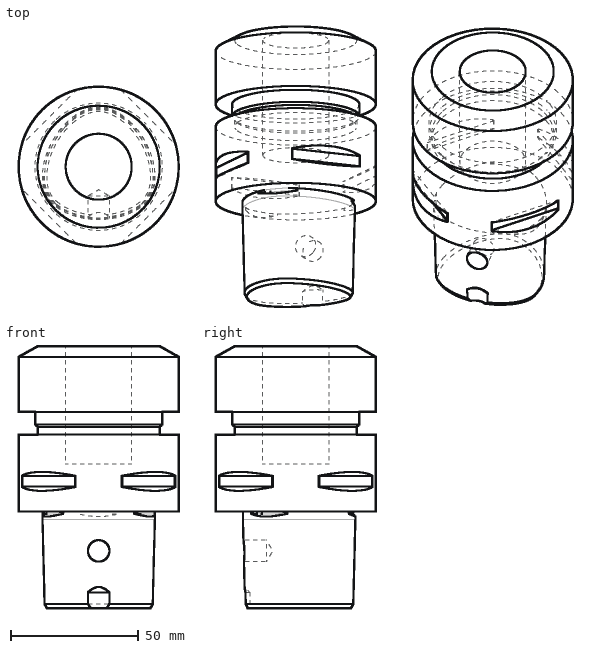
import cadquery as cq
import math

TOTAL_HEIGHT = 103.0
SHANK_LENGTH = 38.0
BODY_TOP = 68.2
RELIEF_TOP = 71.3
NUT_BOTTOM = 77.1

BODY_RADIUS = 31.5
THREAD_RADIUS = 25.0
RELIEF_RADIUS = 24.0
NUT_FACE_RADIUS = 24.0
NUT_BEVEL_HEIGHT = 4.2
BORE_RADIUS = 13.0
BORE_DEPTH = 46.4

LOBE_MEAN_RADIUS = 22.1
LOBE_RISE = 1.3
COLLAR_LENGTH = 3.2
TAPER_PER_RADIUS = 1 / 40
TIP_CHAMFER_HEIGHT = 1.6
TIP_CHAMFER_INSET = 0.9
CURVE_POINTS = 72

UNDERCUT_RADIUS = 22.4
UNDERCUT_ARC = 0.6

LOCATING_HOLE_RADIUS = 4.2
LOCATING_HOLE_HALF_ANGLE = 59
LOCATING_HOLE_HEIGHT = 22.6
LOCATING_HOLE_DEPTH = 9.3
KEYWAY_RADIUS = 6.0
KEYWAY_HALF_ANGLE = 45
KEYWAY_AXIS_OFFSET = 24.0
KEYWAY_HEIGHT = 6.3

GROOVE_COUNT = 4
GROOVE_HEIGHT = 49.9
GROOVE_LENGTH = 29.5
GROOVE_FLOOR_WIDTH = 4.1
GROOVE_FLOOR_OFFSET = 27.5
GROOVE_FLARE_ANGLE = 22.5


def lobe_wire(mean_radius, z):
    """Constant-width trilobe with one lobe on +Y, its seam on -Y."""
    points = []
    for i in range(CURVE_POINTS):
        normal = 2 * math.pi * i / CURVE_POINTS - math.pi / 2
        phase = 3 * (normal - math.pi / 2)
        support = mean_radius + LOBE_RISE * math.cos(phase)
        slope = -3 * LOBE_RISE * math.sin(phase)
        x = support * math.cos(normal) - slope * math.sin(normal)
        y = support * math.sin(normal) + slope * math.cos(normal)
        points.append(cq.Vector(x, y, z))
    return cq.Wire.assembleEdges([cq.Edge.makeSpline(points, periodic=True)])


def shank():
    collar_bottom = SHANK_LENGTH - COLLAR_LENGTH
    taper_length = collar_bottom - TIP_CHAMFER_HEIGHT
    tip_radius = LOBE_MEAN_RADIUS - taper_length * TAPER_PER_RADIUS
    sections = [
        lobe_wire(tip_radius - TIP_CHAMFER_INSET, 0),
        lobe_wire(tip_radius, TIP_CHAMFER_HEIGHT),
        lobe_wire(LOBE_MEAN_RADIUS, collar_bottom),
        lobe_wire(LOBE_MEAN_RADIUS, SHANK_LENGTH),
    ]
    return cq.Workplane(cq.Solid.makeLoft(sections, True))


def undercut():
    """Ring with a rounded floor and a 45 degree run-out."""
    arc_offset = UNDERCUT_ARC * math.sqrt(0.5)
    center_r = UNDERCUT_RADIUS + UNDERCUT_ARC
    center_z = SHANK_LENGTH - UNDERCUT_ARC
    runout_r = center_r - arc_offset
    runout_z = center_z - arc_offset
    outer_r = LOBE_MEAN_RADIUS + 2 * LOBE_RISE
    return (
        cq.Workplane("XZ")
        .moveTo(center_r, SHANK_LENGTH)
        .threePointArc((UNDERCUT_RADIUS, center_z), (runout_r, runout_z))
        .lineTo(outer_r, runout_z - (outer_r - runout_r))
        .lineTo(outer_r, SHANK_LENGTH)
        .close()
        .revolve(360, (0, 0, 0), (0, 1, 0))
    )


def turned_body():
    thread_chamfer = THREAD_RADIUS - RELIEF_RADIUS
    profile = [
        (0, SHANK_LENGTH),
        (BODY_RADIUS, SHANK_LENGTH),
        (BODY_RADIUS, BODY_TOP),
        (RELIEF_RADIUS, BODY_TOP),
        (RELIEF_RADIUS, RELIEF_TOP),
        (THREAD_RADIUS, RELIEF_TOP + thread_chamfer),
        (THREAD_RADIUS, NUT_BOTTOM),
        (BODY_RADIUS, NUT_BOTTOM),
        (BODY_RADIUS, TOTAL_HEIGHT - NUT_BEVEL_HEIGHT),
        (NUT_FACE_RADIUS, TOTAL_HEIGHT),
        (BORE_RADIUS, TOTAL_HEIGHT),
        (BORE_RADIUS, TOTAL_HEIGHT - BORE_DEPTH),
        (0, TOTAL_HEIGHT - BORE_DEPTH),
    ]
    return cq.Workplane("XZ").polyline(profile).close().revolve(360, (0, 0, 0), (0, 1, 0))


def drill(start, direction, radius, depth, point_half_angle):
    """Drill shape: a cylinder of the given depth ending in a conical point."""
    point_height = radius / math.tan(math.radians(point_half_angle))
    profile = [(0, 0), (radius, 0), (radius, depth), (0, depth + point_height)]
    plane = cq.Plane(origin=start, xDir=(1, 0, 0), normal=cq.Vector(1, 0, 0).cross(direction))
    return cq.Workplane(plane).polyline(profile).close().revolve(360, (0, 0, 0), (0, 1, 0))


def locating_hole():
    start = (0, -BODY_RADIUS, LOCATING_HOLE_HEIGHT)
    flank_offset = LOBE_MEAN_RADIUS - LOBE_RISE
    travel = BODY_RADIUS - flank_offset + LOCATING_HOLE_DEPTH
    return drill(start, cq.Vector(0, 1, 0), LOCATING_HOLE_RADIUS, travel, LOCATING_HOLE_HALF_ANGLE)


def keyway():
    start = (0, -KEYWAY_AXIS_OFFSET, 0)
    return drill(start, cq.Vector(0, 0, 1), KEYWAY_RADIUS, KEYWAY_HEIGHT, KEYWAY_HALF_ANGLE)


def gripper_groove():
    """Flat-bottomed, square-ended groove on the +X side, widening outwards."""
    floor_half = GROOVE_FLOOR_WIDTH / 2
    depth = BODY_RADIUS - GROOVE_FLOOR_OFFSET
    mouth_half = floor_half + depth * math.tan(math.radians(GROOVE_FLARE_ANGLE))
    profile = [
        (GROOVE_FLOOR_OFFSET, GROOVE_HEIGHT - floor_half),
        (BODY_RADIUS, GROOVE_HEIGHT - mouth_half),
        (BODY_RADIUS, GROOVE_HEIGHT + mouth_half),
        (GROOVE_FLOOR_OFFSET, GROOVE_HEIGHT + floor_half),
    ]
    return cq.Workplane("XZ").polyline(profile).close().extrude(GROOVE_LENGTH / 2, both=True)


result = shank().cut(undercut()).union(turned_body())
result = result.cut(locating_hole()).cut(keyway())
for i in range(GROOVE_COUNT):
    angle = (i + 0.5) * 360 / GROOVE_COUNT
    result = result.cut(gripper_groove().rotate((0, 0, 0), (0, 0, 1), angle))